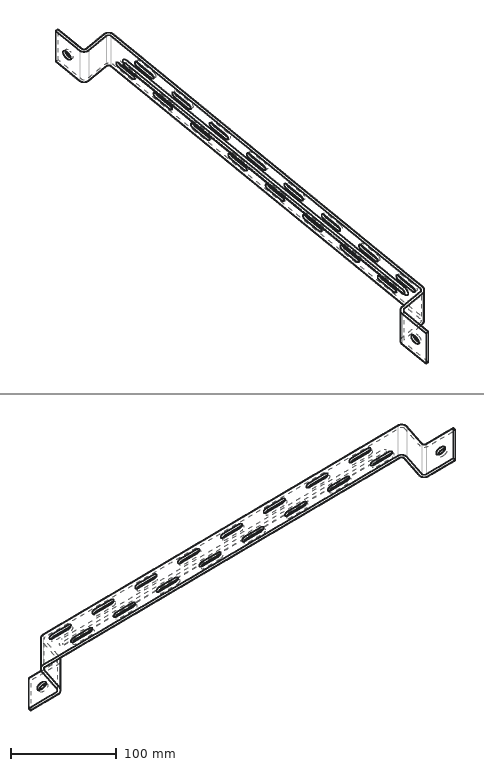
import cadquery as cq
import math

length = 496.0
depth = 36.0
height = 50.0

thickness = 3.0
inner_bend_radius = 3.0
outer_bend_radius = inner_bend_radius + thickness
foot_length = 38.0

hole_diameter = 10.5
hole_edge_distance = 15.0

slot_length = 25.0
slot_width = 7.0
slot_pitch = 50.0
slots_per_row = 8
row_height = 13.0
row_shift = slot_pitch / 4

bead_length = 382.0
bead_width = 12.0
bead_height = 2.0
bead_flank_run = 2.6

foot_front = -depth / 2
foot_back = foot_front + thickness
bridge_back = depth / 2
bridge_front = bridge_back - thickness
half_length = length / 2
leg_inner = half_length - foot_length
leg_outer = leg_inner + thickness
bead_taper_angle = math.degrees(math.atan2(bead_flank_run, bead_height))


def bent_strip():
    """Hat-shaped sheet profile extruded over the height, with rounded bends."""
    outline = [
        (-half_length, foot_front),
        (-leg_inner, foot_front),
        (-leg_inner, bridge_front),
        (leg_inner, bridge_front),
        (leg_inner, foot_front),
        (half_length, foot_front),
        (half_length, foot_back),
        (leg_outer, foot_back),
        (leg_outer, bridge_back),
        (-leg_outer, bridge_back),
        (-leg_outer, foot_back),
        (-half_length, foot_back),
    ]
    strip = cq.Workplane("XY").polyline(outline).close().extrude(height / 2, both=True)
    outer_corners = []
    inner_corners = []
    for side in (-1, 1):
        outer_corners += [(side * leg_inner, foot_front), (side * leg_outer, bridge_back)]
        inner_corners += [(side * leg_outer, foot_back), (side * leg_inner, bridge_front)]
    for corners, radius in (
        (outer_corners, outer_bend_radius),
        (inner_corners, inner_bend_radius),
    ):
        for x, y in corners:
            corner_edge = cq.selectors.NearestToPointSelector((x, y, 0))
            strip = strip.edges("|Z").edges(corner_edge).fillet(radius)
    return strip


def bead():
    """Raised obround rib with sloping flanks."""
    return (
        cq.Workplane("XZ", origin=(0, bridge_front, 0))
        .slot2D(bead_length, bead_width)
        .extrude(bead_height, taper=bead_taper_angle)
    )


def slot_cutters():
    """Through cutters for both slot rows."""
    half_row = (slots_per_row - 1) / 2
    centres = []
    for side in (-1, 1):
        for index in range(slots_per_row):
            x = (index - half_row) * slot_pitch + side * row_shift
            centres.append((x, side * row_height))
    return (
        cq.Workplane("XZ", origin=(0, bridge_back, 0))
        .pushPoints(centres)
        .slot2D(slot_length, slot_width)
        .extrude(thickness)
    )


def hole_cutters():
    """Through cutters for the mounting hole in each foot."""
    hole_x = half_length - hole_edge_distance
    return (
        cq.Workplane("XZ", origin=(0, foot_back, 0))
        .pushPoints([(-hole_x, 0), (hole_x, 0)])
        .circle(hole_diameter / 2)
        .extrude(thickness)
    )


result = bent_strip().union(bead()).cut(slot_cutters()).cut(hole_cutters())